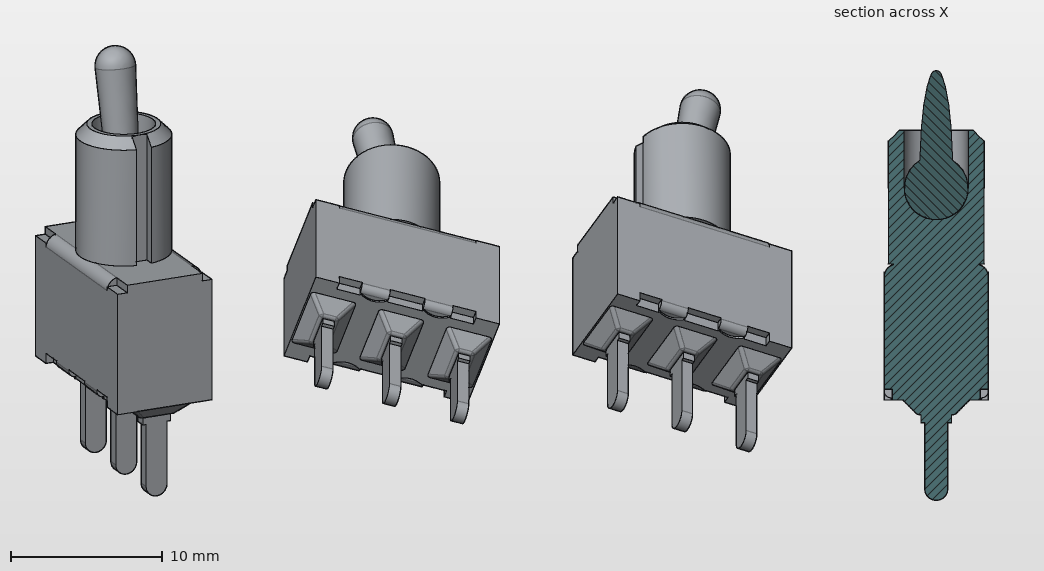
import cadquery as cq
import math


case_length = 12.7
case_width = 6.85
case_height = 8.95
ledge_half_length = 4.72
top_edge_drop = 0.8
top_edge_inset = 0.7
top_edge_radius = 0.85
corner_notch_width = top_edge_inset
corner_notch_depth = 0.53

recess_height = 0.7
recess_depth = 0.53
terminal_pitch = 4.7
bar_offset = 2.17
bar_length = 1.95
bar_drop = 0.15
bar_radius = 0.47
scallop_length = 1.75
scallop_depth = 0.3

bushing_radius = 3.17
bushing_height = 8.83
bushing_chamfer = 0.73
keyway_width = 1.09
keyway_floor = 2.43

pad_length = 3.1
pad_width = 4.4
pad_height = 0.97
pad_taper = 45
pad_rounding = 0.35
pin_thickness = 0.8
pin_width = 1.53
pin_reach = 6.6
shoulder_width = 2.02
shoulder_reach = 1.5

ball_diameter = 4.2
lever_tilt = 10
lever_tip_radius = 1.35
lever_root_radius = 1.05
lever_top = 22.73
pivot_height = 14.0

bushing_top = case_height + bushing_height
ball_radius = ball_diameter / 2
half_width = case_width / 2
terminal_positions = [-terminal_pitch, 0, terminal_pitch]
bar_positions = [-bar_offset, bar_offset]


def both_sides(shape):
    """A shape on the -Y side together with its mirror image on the +Y side."""
    return shape.union(shape.mirror("XZ"))


def edge_waste(length, inset, drop, radius):
    """Waste that rounds a long edge along X; the edge is at the origin, the body towards +Y and -Z."""
    return (
        cq.Workplane("YZ", origin=(-length / 2, 0, 0))
        .moveTo(0, -drop)
        .radiusArc((inset, 0), radius)
        .lineTo(0, 0)
        .close()
        .extrude(length)
    )


def make_case():
    case = cq.Workplane("XY").box(case_length, case_width, case_height, centered=(True, True, False))
    top_waste = edge_waste(2 * ledge_half_length, top_edge_inset, top_edge_drop, top_edge_radius)
    case = case.cut(both_sides(top_waste.translate((0, -half_width, case_height))))

    notch_length = case_length / 2 - ledge_half_length
    notch = cq.Workplane("XY").box(notch_length, corner_notch_width, corner_notch_depth, centered=False)
    for x in (-case_length / 2, ledge_half_length):
        case = case.cut(both_sides(notch.translate((x, -half_width, case_height - corner_notch_depth))))

    lower_edge_waste = make_recess()
    for x in bar_positions:
        lower_edge_waste = lower_edge_waste.union(make_bar_waste().translate((x, 0, 0)))
    return case.cut(both_sides(lower_edge_waste.translate((0, -half_width, 0))))


def make_recess():
    """Recess along a lower edge, with the wall left standing at the bars; its face is at y = 0."""
    recess = cq.Workplane("XY").box(
        2 * ledge_half_length, recess_depth, recess_height, centered=(True, False, False)
    )
    bar = cq.Workplane("XY").box(bar_length, recess_depth, recess_height, centered=(True, False, False))
    for x in bar_positions:
        recess = recess.cut(bar.translate((x, 0, 0)))
    return recess


def make_bar_waste():
    """Waste that rounds the lower edge of a bar and hollows the underside behind it."""
    rounding = edge_waste(bar_length, bar_radius, bar_radius, bar_radius).mirror("XY")
    rounding = rounding.translate((0, 0, bar_drop))
    step = cq.Workplane("XY").box(bar_length, bar_radius, bar_drop, centered=(True, False, False))
    scallop = (
        cq.Workplane("XY")
        .moveTo(-scallop_length / 2, bar_radius)
        .threePointArc((0, bar_radius + scallop_depth), (scallop_length / 2, bar_radius))
        .close()
        .extrude(bar_drop)
    )
    return rounding.union(step).union(scallop)


def make_bushing():
    bushing = (
        cq.Workplane("XY", origin=(0, 0, case_height))
        .circle(bushing_radius)
        .extrude(bushing_height)
        .faces(">Z")
        .chamfer(bushing_chamfer)
    )
    keyway = (
        cq.Workplane("XY", origin=(keyway_floor, 0, case_height))
        .box(bushing_radius, keyway_width, bushing_height, centered=(False, True, False))
    )
    return bushing.cut(keyway)


def make_bore():
    """Bushing bore with a spherical seat that fits the lever ball."""
    return (
        cq.Workplane("XZ")
        .moveTo(0, pivot_height - ball_radius)
        .radiusArc((ball_radius, pivot_height), -ball_radius)
        .lineTo(ball_radius, bushing_top)
        .lineTo(0, bushing_top)
        .close()
        .revolve(360, (0, 0, 0), (0, 1, 0))
    )


def make_terminal():
    pad = cq.Workplane("XY").rect(pad_length, pad_width).extrude(-pad_height, taper=pad_taper)
    pad = pad.edges("not >Z").fillet(pad_rounding)
    shoulder = cq.Workplane("XY").box(
        pin_thickness, shoulder_width, shoulder_reach, centered=(True, True, False)
    ).translate((0, 0, -shoulder_reach))
    tip_radius = pin_width / 2
    pin = (
        cq.Workplane("YZ", origin=(-pin_thickness / 2, 0, 0))
        .moveTo(-tip_radius, 0)
        .lineTo(-tip_radius, tip_radius - pin_reach)
        .threePointArc((0, -pin_reach), (tip_radius, tip_radius - pin_reach))
        .lineTo(tip_radius, 0)
        .close()
        .extrude(pin_thickness)
    )
    return pad.union(shoulder).union(pin)


def make_housing():
    housing = make_case().union(make_bushing()).cut(make_bore())
    for x in terminal_positions:
        housing = housing.union(make_terminal().translate((x, 0, 0)))
    return housing


def make_lever():
    """Ball with a tapered, round-ended stem, tilted about the ball centre."""
    tip_rise = lever_top - lever_tip_radius - pivot_height
    stem_length = tip_rise / math.cos(math.radians(lever_tilt))
    stem = (
        cq.Workplane("XZ")
        .lineTo(lever_root_radius, 0)
        .lineTo(lever_tip_radius, stem_length)
        .radiusArc((0, stem_length + lever_tip_radius), -lever_tip_radius)
        .close()
        .revolve(360, (0, 0, 0), (0, 1, 0))
    )
    lever = stem.union(cq.Workplane("XY").sphere(ball_radius))
    return lever.rotate((0, 0, 0), (0, 1, 0), -lever_tilt).translate((0, 0, pivot_height))


housing = make_housing()
lever = make_lever()
result = cq.Compound.makeCompound([housing.solids().val(), lever.solids().val()])